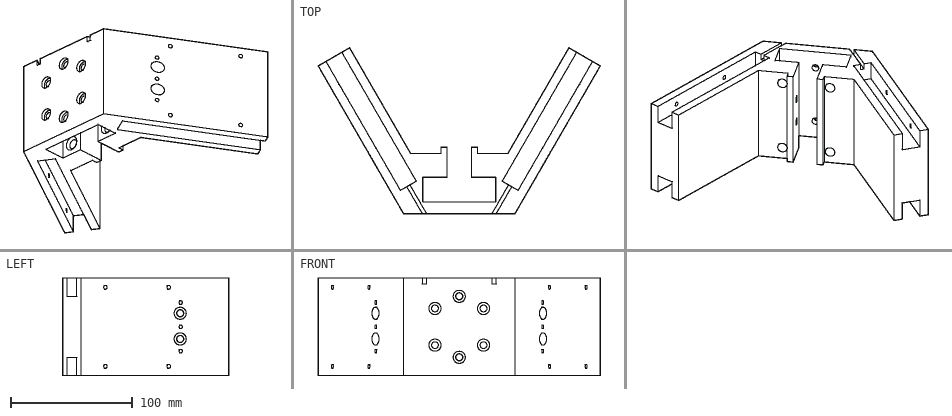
import cadquery as cq
import math

height = 80.3
width = 232.0
half_height = height / 2

arm_angle = 60.0
arm_thickness = 30.0
depth = 136.6
arm_sin = math.sin(math.radians(arm_angle))
arm_cos = math.cos(math.radians(arm_angle))
arm_length = (depth - arm_thickness * arm_cos) / arm_sin
front_half_width = width / 2 - arm_length * arm_cos

groove_width = 15.0
groove_depth = 15.0
groove_start = 18.0

slot_width = 3.0
slot_depth = 4.9

wall_thickness = 10.0
window_half_width = 30.0
jaw_front = 30.2
jaw_back = 49.9
jaw_gap = 20.0
lip_back = 55.0
lip_width = 5.0

screw_diameter = 5.5
head_diameter = 10.0
head_depth = 3.0
centre_screw_height = 25.0
wall_screw_offset = 20.0
wall_screw_height = 15.0

jaw_hole_offset = 20.0
jaw_hole_diameter = 8.0
jaw_sink_diameter = 11.8
jaw_sink_depth = (jaw_sink_diameter - jaw_hole_diameter) / 2
jaw_hole_height = 30.2
jaw_hole_depth = jaw_back - jaw_front

cross_screw_y = (jaw_front + jaw_back) / 2
cross_screw_heights = (-10.0, 11.1)
cross_head_floor = 56.8

pin_diameter = 3.0
pin_depth = 10.0
pin_spacing = 20.0
pin_along = 45.7

set_screw_diameter = 3.2
set_screw_along = (57.0, 117.1)
set_screw_height = 32.5


def arm_point(along, inward):
    """XY point on the right arm: distance along its outer face and depth behind that face."""
    x = front_half_width + along * arm_cos - inward * arm_sin
    y = along * arm_sin + inward * arm_cos
    return (x, y)


def arm_strip(start, end, strip_width):
    """Plan rectangle centred in the arm thickness."""
    near = (arm_thickness - strip_width) / 2
    far = near + strip_width
    corners = [arm_point(start, near), arm_point(end, near), arm_point(end, far), arm_point(start, far)]
    return cq.Workplane("XY").polyline(corners).close()


def rod(point, direction, diameter, length):
    """Solid cylinder starting at a point."""
    cylinder = cq.Solid.makeCylinder(diameter / 2, length, cq.Vector(*point), cq.Vector(*direction))
    return cq.Workplane(cylinder)


def arm_hole(along, z, diameter, hole_depth):
    """Hole cutter square to the outer face of the right arm."""
    x, y = arm_point(along, 0)
    return rod((x, y, z), (-arm_sin, arm_cos, 0), diameter, hole_depth)


def half_body():
    """Right half of the bracket, split at the centre plane."""
    inner_corner_along = (jaw_back - arm_thickness * arm_cos) / arm_sin
    jaw_half_gap = jaw_gap / 2
    outline = [
        (0, 0),
        arm_point(0, 0),
        arm_point(arm_length, 0),
        arm_point(arm_length, arm_thickness),
        arm_point(inner_corner_along, arm_thickness),
        (jaw_half_gap + lip_width, jaw_back),
        (jaw_half_gap + lip_width, lip_back),
        (jaw_half_gap, lip_back),
        (jaw_half_gap, jaw_front),
        (window_half_width, jaw_front),
        (window_half_width, wall_thickness),
        (0, wall_thickness),
    ]
    return cq.Workplane("XY").polyline(outline).close().extrude(half_height, both=True)


def cut_grooves(body):
    groove = arm_strip(groove_start, arm_length, groove_width).extrude(groove_depth)
    for floor in (half_height - groove_depth, -half_height):
        body = body.cut(groove.translate((0, 0, floor)))
    before_front = -arm_thickness
    slot = arm_strip(before_front, groove_start, slot_width).extrude(slot_depth)
    return body.cut(slot.translate((0, 0, half_height - slot_depth)))


def cut_arm_holes(body):
    for z in cross_screw_heights:
        body = body.cut(rod((0, cross_screw_y, z), (1, 0, 0), screw_diameter, width / 2))
        body = body.cut(rod((cross_head_floor, cross_screw_y, z), (1, 0, 0), head_diameter, width / 2))
    for z in (-pin_spacing, 0, pin_spacing):
        body = body.cut(arm_hole(pin_along, z, pin_diameter, pin_depth))
    for along in set_screw_along:
        for z in (-set_screw_height, set_screw_height):
            body = body.cut(arm_hole(along, z, set_screw_diameter, arm_thickness / 2))
    return body


def cut_front_screw(body, x, z):
    body = body.cut(rod((x, 0, z), (0, 1, 0), screw_diameter, wall_thickness))
    return body.cut(rod((x, 0, z), (0, 1, 0), head_diameter, head_depth))


def jaw_countersink(z):
    """Cone that narrows from the front face of the jaw down to the hole."""
    start = cq.Vector(jaw_hole_offset, jaw_front, z)
    mouth_radius = jaw_sink_diameter / 2
    hole_radius = jaw_hole_diameter / 2
    cone = cq.Solid.makeCone(mouth_radius, hole_radius, jaw_sink_depth, start, cq.Vector(0, 1, 0))
    return cq.Workplane(cone)


def cut_wall_screws(body):
    for z in (-wall_screw_height, wall_screw_height):
        body = cut_front_screw(body, wall_screw_offset, z)
    return body


def cut_jaw_holes(body):
    for z in (-jaw_hole_height, jaw_hole_height):
        mouth = (jaw_hole_offset, jaw_front, z)
        body = body.cut(rod(mouth, (0, 1, 0), jaw_hole_diameter, jaw_hole_depth))
        body = body.cut(jaw_countersink(z))
    return body


right_half = half_body()
right_half = cut_grooves(right_half)
right_half = cut_arm_holes(right_half)
right_half = cut_wall_screws(right_half)
right_half = cut_jaw_holes(right_half)
result = right_half.union(right_half.mirror("YZ"))
for centre_z in (-centre_screw_height, centre_screw_height):
    result = cut_front_screw(result, 0, centre_z)